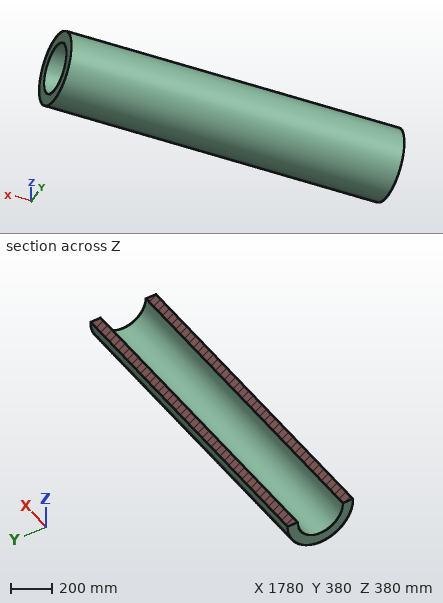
import cadquery as cq

length = 1780.0
outer_diameter = 380.0
bore_diameter = 260.0

end_plane = cq.Workplane("YZ", origin=(-length / 2, 0, 0))
section = end_plane.circle(outer_diameter / 2).circle(bore_diameter / 2)

result = section.extrude(length)